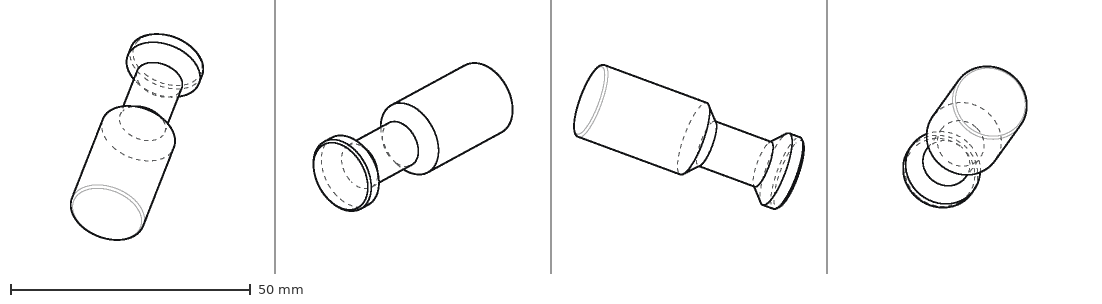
import cadquery as cq

total_length = 46.0
body_diameter = 16.0
neck_diameter = 10.05
body_length = 24.0
head_length = 3.0
head_chamfer = 0.5
body_round = 0.5

body_radius = body_diameter / 2
neck_radius = neck_diameter / 2
cone_length = body_radius - neck_radius

front_y = -total_length / 2
back_y = total_length / 2
body_end_y = front_y + body_length
neck_start_y = body_end_y + cone_length
head_rim_y = back_y - head_length
neck_end_y = head_rim_y - cone_length

profile = (
    cq.Workplane("XY")
    .moveTo(0, front_y)
    .lineTo(body_radius - body_round, front_y)
    .radiusArc((body_radius, front_y + body_round), -body_round)
    .lineTo(body_radius, body_end_y)
    .lineTo(neck_radius, neck_start_y)
    .lineTo(neck_radius, neck_end_y)
    .lineTo(body_radius, head_rim_y)
    .lineTo(body_radius, back_y - head_chamfer)
    .lineTo(body_radius - head_chamfer, back_y)
    .lineTo(0, back_y)
    .close()
)

result = profile.revolve(360, (0, 0, 0), (0, 1, 0))